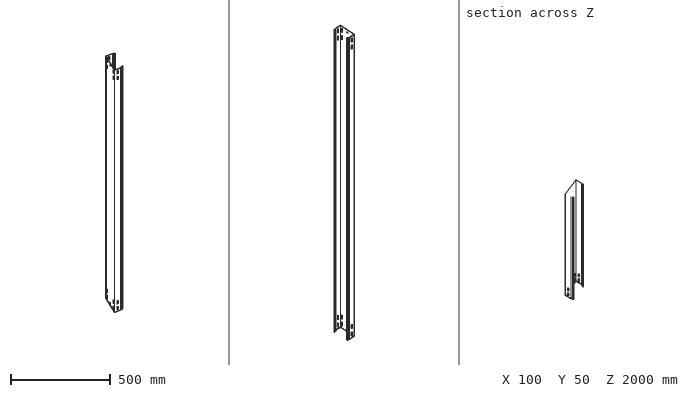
import cadquery as cq

length = 2000.0
width = 100.0
depth = 50.0
sheet = 2.0

knee_height = 35.0
valley_inset = 5.0
valley_rise = 5.2
crest_inset = 1.0
crest_rise = 4.5
tip_inset = 6.5

slot_length = 25.0
slot_width = 7.0
first_slot_distance = 25.0
slot_pitch = 48.0
base_slot_margin = 12.0
wall_slot_height = 18.0

hole_diameter = 5.0
hole_distance = 17.0

base_y = -depth / 2
wall_x = width / 2 - sheet / 2
cut_depth = 2 * sheet


def channel():
    """Sheet channel with zigzag rims, centred on the origin."""
    knee_y = base_y + knee_height
    valley_y = knee_y + valley_rise
    right_half = [
        (wall_x, base_y + sheet / 2),
        (wall_x, knee_y),
        (wall_x - valley_inset, valley_y),
        (wall_x - crest_inset, valley_y + crest_rise),
        (wall_x - tip_inset, depth / 2 - sheet / 2),
    ]
    left_half = [(-x, y) for x, y in reversed(right_half)]
    section = cq.Workplane("XY", origin=(0, 0, -length / 2)).polyline(left_half + right_half)
    return section.offset2D(sheet / 2, "intersection").extrude(length)


def both_ends(distance):
    """Z positions at the given distance from each end."""
    z = length / 2 - distance
    return [-z, z]


def base_plane():
    """XZ plane just inside the base; extruding from it goes out through the base."""
    return cq.Workplane("XZ", origin=(0, base_y + 1.5 * sheet, 0))


slot_levels = both_ends(first_slot_distance) + both_ends(first_slot_distance + slot_pitch)


def base_slots():
    """Lengthwise slots beside each side wall."""
    x = width / 2 - base_slot_margin
    centres = [(side * x, z) for side in (-1, 1) for z in slot_levels]
    return base_plane().pushPoints(centres).slot2D(slot_length, slot_width, 90).extrude(cut_depth)


def wall_slots():
    """Lengthwise slots passing through both side walls."""
    centres = [(base_y + wall_slot_height, z) for z in slot_levels]
    plane = cq.Workplane("YZ").pushPoints(centres)
    return plane.slot2D(slot_length, slot_width, 90).extrude(width, both=True)


def base_holes():
    """Round holes on the centre line of the base."""
    centres = [(0, z) for z in both_ends(hole_distance)]
    return base_plane().pushPoints(centres).circle(hole_diameter / 2).extrude(cut_depth)


result = channel().cut(base_slots()).cut(wall_slots()).cut(base_holes())